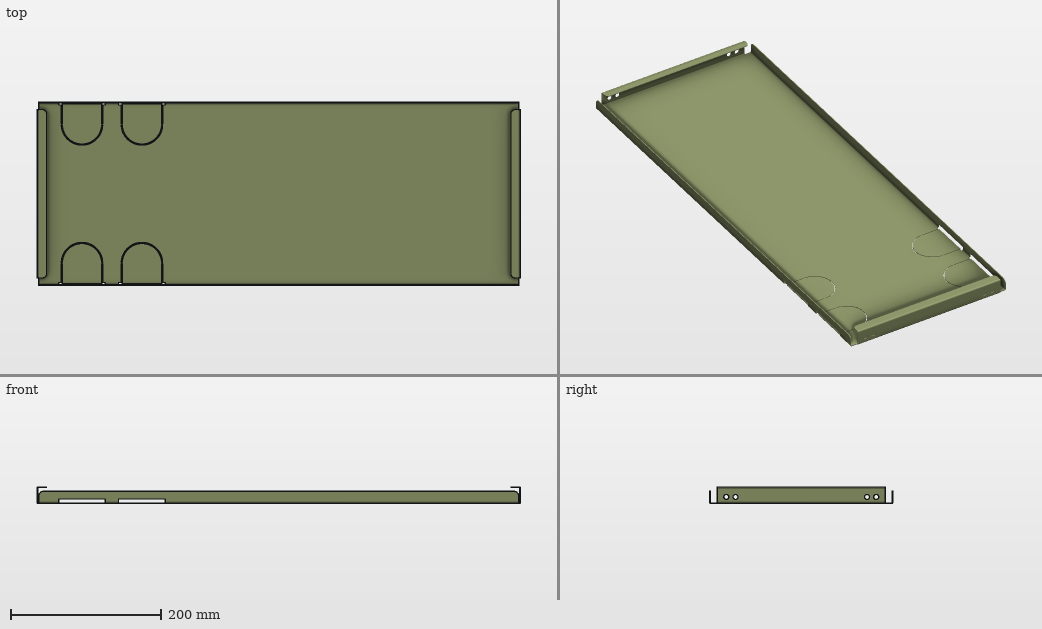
import cadquery as cq

LENGTH = 643.5
WIDTH = 244.0
HEIGHT = 22.5

THICKNESS = 1.0
BEND_RADIUS = 2.25
INNER_RADIUS = BEND_RADIUS - THICKNESS

SIDE_HEIGHT = 17.0
SIDE_LENGTH = LENGTH - 2 * BEND_RADIUS
SIDE_CORNER = 6.5

END_WIDTH = 224.0
LIP_DEPTH = 13.0
LIP_CORNER = 6.0

HOLE_DIAMETER = 6.5
HOLE_Z = 9.0
HOLE_Y = (87.5, 100.0)

TAB_X = (-LENGTH / 2 + 60.0, -LENGTH / 2 + 139.5)
TAB_RADIUS = 26.5
TAB_CENTRE_Y = WIDTH / 2 - 29.5
SLOT_WIDTH = 1.0
TAB_TIP_Y = WIDTH / 2 - BEND_RADIUS
BRIDGE_LENGTH = 2.0

WINDOW_WIDTH = 62.0
WINDOW_HEIGHT = 6.1
RELIEF_DEPTH = 1.0


def box(x_range, y_range, z_range):
    """Box between the given limits."""
    (x0, x1), (y0, y1), (z0, z1) = x_range, y_range, z_range
    return cq.Workplane("XY").box(x1 - x0, y1 - y0, z1 - z0, centered=False).translate((x0, y0, z0))


def side_channel():
    """Floor with the two side flanges: a U section along X."""
    half = WIDTH / 2
    outer = (
        cq.Workplane("YZ")
        .rect(WIDTH, 2 * SIDE_HEIGHT)
        .extrude(SIDE_LENGTH / 2, both=True)
        .edges("|X").fillet(BEND_RADIUS)
        .translate((0, 0, SIDE_HEIGHT))
    )
    inner = (
        cq.Workplane("YZ")
        .rect(WIDTH - 2 * THICKNESS, 2 * (SIDE_HEIGHT - THICKNESS))
        .extrude(SIDE_LENGTH / 2, both=True)
        .edges("|X").fillet(INNER_RADIUS)
        .translate((0, 0, SIDE_HEIGHT))
    )
    lower_half = box((-LENGTH, LENGTH), (-half, half), (0, SIDE_HEIGHT))
    channel = outer.cut(inner).intersect(lower_half)
    end_edges = cq.selectors.BoxSelector(
        (-LENGTH, -WIDTH, SIDE_HEIGHT - THICKNESS),
        (LENGTH, WIDTH, SIDE_HEIGHT + THICKNESS),
    )
    return channel.edges("|Y").edges(end_edges).fillet(SIDE_CORNER)


def end_channel():
    """Floor with the two end flanges and their lips: a C section along Y."""
    outer = (
        cq.Workplane("XZ")
        .rect(LENGTH, HEIGHT)
        .extrude(END_WIDTH / 2, both=True)
        .edges("|Y").fillet(BEND_RADIUS)
    )
    inner = (
        cq.Workplane("XZ")
        .rect(LENGTH - 2 * THICKNESS, HEIGHT - 2 * THICKNESS)
        .extrude(END_WIDTH / 2, both=True)
        .edges("|Y").fillet(INNER_RADIUS)
    )
    opening = (
        cq.Workplane("XY")
        .rect(LENGTH - 2 * LIP_DEPTH, END_WIDTH)
        .extrude(HEIGHT)
    )
    channel = outer.cut(inner).cut(opening).translate((0, 0, HEIGHT / 2))
    lip_tips = cq.selectors.BoxSelector(
        (-LENGTH / 2 + LIP_DEPTH / 2, -WIDTH, HEIGHT - 2 * THICKNESS),
        (LENGTH / 2 - LIP_DEPTH / 2, WIDTH, HEIGHT + THICKNESS),
    )
    return channel.edges("|Z").edges(lip_tips).fillet(LIP_CORNER)


def end_holes():
    """Pins for the screw holes, running through both end flanges."""
    places = [(sign * y, HOLE_Z) for y in HOLE_Y for sign in (-1, 1)]
    return cq.Workplane("YZ").pushPoints(places).circle(HOLE_DIAMETER / 2).extrude(LENGTH, both=True)


def tab_outline(radius):
    """Solid tab shape with a round inner end, open towards +Y."""
    straight = TAB_TIP_Y - TAB_CENTRE_Y
    return (
        cq.Workplane("XY")
        .moveTo(-radius, straight)
        .lineTo(-radius, 0)
        .threePointArc((0, -radius), (radius, 0))
        .lineTo(radius, straight)
        .close()
        .extrude(THICKNESS)
    )


def tab_cut(x):
    """U-shaped slot of one tab at +Y, bridges left standing, with its flange window."""
    tab = tab_outline(TAB_RADIUS).translate((x, TAB_CENTRE_Y, 0))
    opening = tab_outline(TAB_RADIUS + SLOT_WIDTH).translate((x, TAB_CENTRE_Y, 0))
    bridges = cq.Workplane("XY").box(WIDTH, BRIDGE_LENGTH, 2 * THICKNESS).translate((x, TAB_CENTRE_Y, 0))
    window = box(
        (x - WINDOW_WIDTH / 2, x + WINDOW_WIDTH / 2),
        (TAB_TIP_Y - RELIEF_DEPTH, WIDTH / 2),
        (0, WINDOW_HEIGHT),
    )
    return opening.cut(bridges).union(window).cut(tab)


result = side_channel().union(end_channel()).cut(end_holes())
for tab_x in TAB_X:
    cutter = tab_cut(tab_x)
    result = result.cut(cutter).cut(cutter.mirror("XZ"))